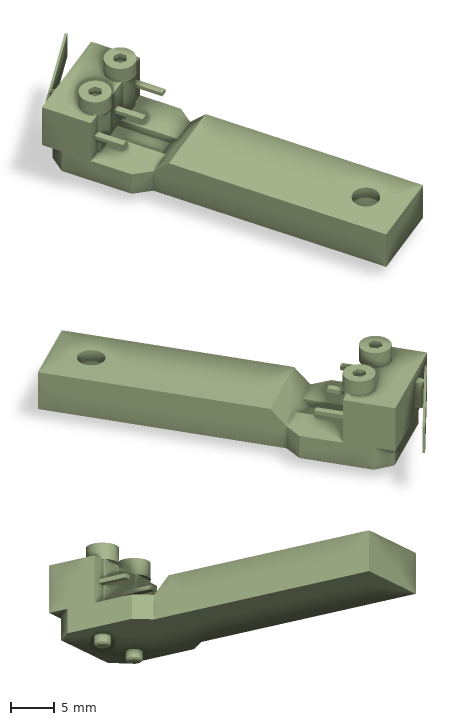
import cadquery as cq
import math

arm_length = 43.0
plate_width = 12.8
plate_thickness = 3.0
plate_length = 13.0
bar_thickness = 5.0
corner_length = 2.0
corner_width = 1.6
bar_width = plate_width - 2 * corner_width
groove_width = 3.0
groove_depth = 1.0
mount_hole_diameter = 3.3
mount_hole_depth = 1.5
mount_hole_end_distance = 5.0

case_front = -0.57
case_height = 5.8
seam_x = 3.3
case_rear = 5.75
tongue_end = 5.43
lug_rear = 6.05
lug_width = 2.8
case_bottom = plate_thickness
case_top = case_bottom + case_height
case_mid = case_bottom + case_height / 2
case_z = (case_bottom, case_top)

screw_x = 4.73
screw_pitch = 6.5
shank_diameter = 2.0
shank_length = 10.0
tip_chamfer = 0.2
head_diameter = 3.8
head_height = 2.0
rim_diameter = 3.84
rim_height = 0.1
hex_flats = 1.5
hex_depth = 1.0
screw_positions = [(screw_x, side * screw_pitch / 2) for side in (-1, 1)]

terminal_pitch = 5.08
terminal_width = 0.8
terminal_thickness = 0.5
terminal_end = 9.45

lever_thickness = 0.3
lever_height = 3.6
lever_tip_x = -4.5
lever_tip_y = 7.58
lever_foot_y = -5.4
lever_foot_bevel = 0.18
lever_angle = math.radians(15.8)
plunger_y = -2.1
plunger_width = 1.0
plunger_height = 3.5


def box(x_range, y_range, z_range):
    """Box spanning the given (low, high) ranges."""
    size = [high - low for low, high in (x_range, y_range, z_range)]
    low_corner = (x_range[0], y_range[0], z_range[0])
    return cq.Workplane("XY").box(*size, centered=False).translate(low_corner)


def centred(width, middle=0.0):
    """(low, high) range of the given width about a middle value."""
    return (middle - width / 2, middle + width / 2)


def screw_holes():
    """Cylinders that clear the screw shanks through the case and the arm."""
    return (
        cq.Workplane("XY")
        .pushPoints(screw_positions)
        .circle(shank_diameter / 2)
        .extrude(case_top)
    )


def make_arm():
    half_plate = plate_width / 2
    half_bar = bar_width / 2
    half_outline = [
        (0, half_plate - corner_width),
        (corner_length, half_plate),
        (plate_length - corner_length, half_plate),
        (plate_length, half_bar),
        (arm_length, half_bar),
    ]
    mirrored = [(x, -y) for x, y in reversed(half_outline)]
    plan = cq.Workplane("XY").polyline(half_outline + mirrored).close().extrude(bar_thickness)

    slope_length = bar_thickness - plate_thickness
    profile = (
        cq.Workplane("XZ")
        .polyline([
            (0, 0),
            (arm_length, 0),
            (arm_length, bar_thickness),
            (plate_length + slope_length, bar_thickness),
            (plate_length, plate_thickness),
            (0, plate_thickness),
        ])
        .close()
        .extrude(half_plate, both=True)
    )

    groove = (
        cq.Workplane("XZ")
        .polyline([
            (0, plate_thickness),
            (0, plate_thickness - groove_depth),
            (plate_length - groove_depth, plate_thickness - groove_depth),
            (plate_length, plate_thickness),
        ])
        .close()
        .extrude(groove_width / 2, both=True)
    )
    mount_hole = (
        cq.Workplane("XY", origin=(arm_length - mount_hole_end_distance, 0, bar_thickness))
        .circle(mount_hole_diameter / 2)
        .extrude(-mount_hole_depth)
    )
    return plan.intersect(profile).cut(groove).cut(mount_hole).cut(screw_holes())


def housing_blank():
    """Front block with a tongue reaching back between the screws."""
    block = box((case_front, seam_x), centred(plate_width), case_z)
    tongue = box((seam_x, tongue_end), centred(screw_pitch), case_z)
    return block.union(tongue)


def make_housing():
    return housing_blank().cut(screw_holes())


def make_base():
    base = box((seam_x, case_rear), centred(plate_width), case_z)
    for x, y in screw_positions:
        base = base.union(box((x, lug_rear), centred(lug_width, y), case_z))
    return base.cut(housing_blank()).cut(screw_holes())


def make_screw(position):
    shank = (
        cq.Workplane("XY")
        .circle(shank_diameter / 2)
        .extrude(-shank_length)
        .faces("<Z")
        .chamfer(tip_chamfer)
    )
    head = (
        cq.Workplane("XY")
        .circle(head_diameter / 2)
        .extrude(head_height)
    )
    rim = (
        cq.Workplane("XY")
        .circle(rim_diameter / 2)
        .extrude(rim_height)
    )
    socket = (
        cq.Workplane("XY", origin=(0, 0, head_height))
        .polygon(6, hex_flats / math.cos(math.pi / 6))
        .extrude(-hex_depth)
    )
    return head.union(rim).cut(socket).union(shank).translate((*position, case_top))


def make_terminal(y):
    return box(
        (case_rear, terminal_end),
        centred(terminal_width, y),
        centred(terminal_thickness, case_mid),
    )


def lever_front_x(y):
    """X of the lever's front face at the given Y."""
    corner_y = lever_tip_y - lever_thickness * math.sin(lever_angle)
    return lever_tip_x + (corner_y - y) * math.tan(lever_angle)


def lever_rear_x(y):
    """X of the lever's rear face at the given Y."""
    return lever_front_x(y) + lever_thickness / math.cos(lever_angle)


def make_lever():
    """Slanted strip whose foot is trimmed to lie flat on the front of the case."""
    contact_y = lever_tip_y - (case_front - lever_rear_x(lever_tip_y)) / math.tan(lever_angle)
    bevel_y = lever_foot_y + lever_foot_bevel
    return (
        cq.Workplane("XY", origin=(0, 0, case_mid - lever_height / 2))
        .polyline([
            (lever_tip_x, lever_tip_y - lever_thickness * math.sin(lever_angle)),
            (lever_rear_x(lever_tip_y), lever_tip_y),
            (case_front, contact_y),
            (case_front, lever_foot_y),
            (lever_front_x(bevel_y), bevel_y),
        ])
        .close()
        .extrude(lever_height)
    )


def make_plunger():
    """Bar with a full round tip that touches the rear face of the lever."""
    radius = plunger_width / 2
    tip_centre_x = lever_rear_x(plunger_y) + radius / math.cos(lever_angle)
    return (
        cq.Workplane("XY", origin=(0, 0, case_mid - plunger_height / 2))
        .moveTo(case_front, plunger_y + radius)
        .lineTo(tip_centre_x, plunger_y + radius)
        .threePointArc((tip_centre_x - radius, plunger_y), (tip_centre_x, plunger_y - radius))
        .lineTo(case_front, plunger_y - radius)
        .close()
        .extrude(plunger_height)
    )


arm = make_arm()
housing = make_housing()
base = make_base()
screws = [make_screw(position) for position in screw_positions]
terminals = [make_terminal(step * terminal_pitch) for step in (-1, 0, 1)]
plunger = make_plunger()
lever = make_lever()

result = cq.Compound.makeCompound([
    arm.val(),
    housing.val(),
    base.val(),
    *[screw.val() for screw in screws],
    *[terminal.val() for terminal in terminals],
    plunger.val(),
    lever.val(),
])